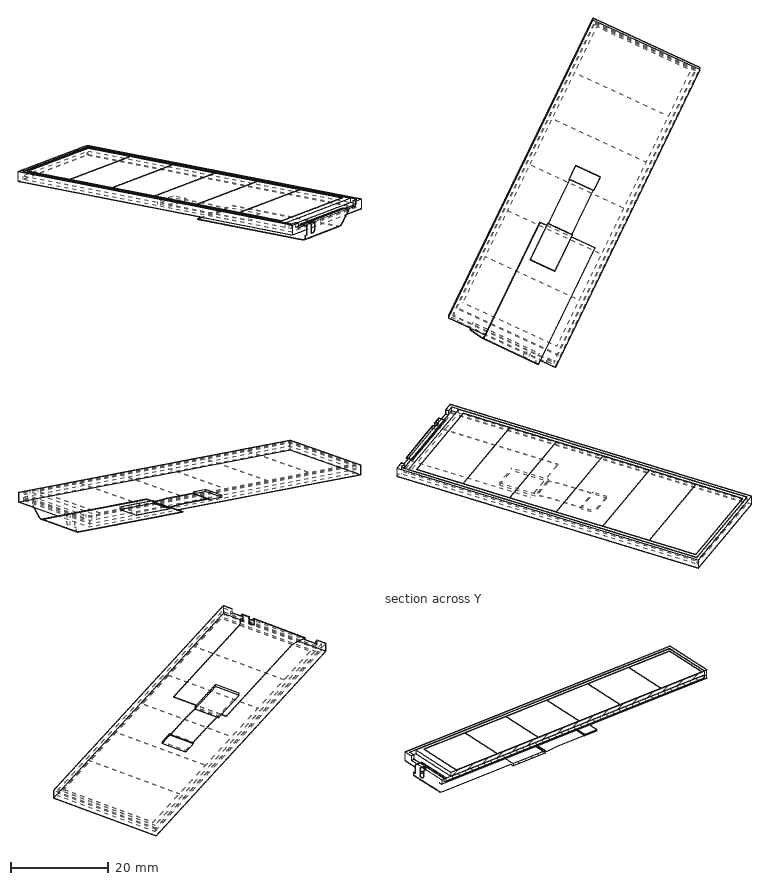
import cadquery as cq

FRAME_LENGTH = 69.4
FRAME_WIDTH = 24.4
FRAME_HEIGHT = 2.1
RIM = 0.7
FLOOR = 0.4
NOTCH_MARGIN = 2.1
NOTCH_DEPTH = 1.05

LEDGE_TOP = 1.1
UPPER_END = 67.1

CELL_COUNT = 6
CELL_WIDTH = 21.4
CELL_THICKNESS = 0.1
CELL_START = 1.3
CELLS_END = 65.6

FLEX_THICKNESS = 0.105
FLEX_START = 68.35
WALL_LEFT_X = 69.95
WALL_RIGHT_X = 70.1
FLEX_LEFT_Y = 7.1
FLEX_RIGHT_Y = -8.0
TOP_FOLD_RADIUS = 0.35
BOTTOM_FOLD_RADIUS = 0.55
ARM_START = 42.75
ARM_LEFT_Y = 3.9
ARM_RIGHT_Y = -8.55
ARM_BOTTOM = -1.9
FLAP_TOP = -0.85

SLOT_START = 69.2
SLOT_LEFT_Y = -5.2
SLOT_RIGHT_Y = -6.4
SLOT_CORNER = 0.55

TAIL_LEFT_Y = 2.45
TAIL_RIGHT_Y = -3.15
STRIP_MARGIN = 0.15
PAD_START = 42.2
PAD_END = 50.7
PAD_BOTTOM = -2.45
TAIL_START = 28.8
PLUG_END = 32.0
PLUG_TOP = -1.7
PLUG_BOTTOM = -2.1
STRIP_TOP = -1.9
STRIP_DROP = 0.2
STRIP_BEND_START = 38.9
STRIP_BEND_END = 41.7

UPPER_TOP = FRAME_HEIGHT - CELL_THICKNESS
OPENING_END = FRAME_LENGTH - RIM
OPENING_WIDTH = FRAME_WIDTH - 2 * RIM
FLEX_TOP = LEDGE_TOP + FLEX_THICKNESS
CELL_LENGTH = (CELLS_END - CELL_START) / CELL_COUNT


def block(x_range, y_range, z_range):
    """Box between two limits on each axis."""
    lows, highs = zip(*(sorted(limits) for limits in (x_range, y_range, z_range)))
    sizes = [high - low for low, high in zip(lows, highs)]
    return cq.Workplane("XY").box(*sizes, centered=False).translate(lows)


def centred_block(x_range, width, z_range):
    """Box centred on Y."""
    return block(x_range, (-width / 2, width / 2), z_range)


def make_frame():
    frame = centred_block((0, FRAME_LENGTH), FRAME_WIDTH, (0, FRAME_HEIGHT))
    opening = centred_block((RIM, OPENING_END), OPENING_WIDTH, (FLOOR, FRAME_HEIGHT))
    notch = centred_block(
        (OPENING_END, FRAME_LENGTH),
        FRAME_WIDTH - 2 * NOTCH_MARGIN,
        (FRAME_HEIGHT - NOTCH_DEPTH, FRAME_HEIGHT),
    )
    return frame.cut(opening).cut(notch)


def make_lower_glass():
    return centred_block((RIM, OPENING_END), OPENING_WIDTH, (FLOOR, LEDGE_TOP))


def make_upper_glass():
    return centred_block((RIM, UPPER_END), OPENING_WIDTH, (LEDGE_TOP, UPPER_TOP))


def make_cell(index):
    start = CELL_START + index * CELL_LENGTH
    return centred_block((start, start + CELL_LENGTH), CELL_WIDTH, (UPPER_TOP, FRAME_HEIGHT))


def fold_section(inset):
    """Rounded block inside the folded flex, shrunk from its outer face by the inset.

    Its end wall is slightly askew, reaching further out on the -Y side.
    """
    bottom = ARM_BOTTOM + inset
    section = (
        cq.Workplane("XY", origin=(0, 0, bottom))
        .moveTo(ARM_START, ARM_RIGHT_Y)
        .lineTo(WALL_RIGHT_X - inset, ARM_RIGHT_Y)
        .lineTo(WALL_LEFT_X - inset, FLEX_LEFT_Y)
        .lineTo(ARM_START, FLEX_LEFT_Y)
        .close()
        .extrude(FLEX_TOP - inset - bottom)
    )
    section = section.faces(">X").edges(">Z").fillet(TOP_FOLD_RADIUS - inset)
    return section.faces(">X").edges("<Z").fillet(BOTTOM_FOLD_RADIUS - inset)


def make_folded_sheet():
    sheet = fold_section(0).cut(fold_section(FLEX_THICKNESS))
    spare_top = block((ARM_START, FLEX_START), (ARM_RIGHT_Y, FLEX_LEFT_Y), (LEDGE_TOP, FLEX_TOP))
    outline = (
        cq.Workplane("YZ", origin=(ARM_START, 0, 0))
        .moveTo(FLEX_LEFT_Y, FLEX_TOP)
        .lineTo(FLEX_LEFT_Y, LEDGE_TOP)
        .lineTo(ARM_LEFT_Y, ARM_BOTTOM)
        .lineTo(ARM_RIGHT_Y, ARM_BOTTOM)
        .lineTo(ARM_RIGHT_Y, FLAP_TOP)
        .lineTo(FLEX_RIGHT_Y, FLAP_TOP)
        .lineTo(FLEX_RIGHT_Y, FLEX_TOP)
        .close()
        .extrude(WALL_RIGHT_X - ARM_START)
    )
    return sheet.cut(spare_top).intersect(outline)


def make_slot():
    slot = block((SLOT_START, WALL_RIGHT_X), (SLOT_RIGHT_Y, SLOT_LEFT_Y), (FLAP_TOP, FLEX_TOP))
    slot = slot.edges("|X and >Y and <Z").fillet(SLOT_CORNER)
    return slot.edges("|Z and >Y and <X").fillet(SLOT_CORNER)


def make_tail():
    low_top = STRIP_TOP - STRIP_DROP
    width = TAIL_LEFT_Y - TAIL_RIGHT_Y - 2 * STRIP_MARGIN
    strip = (
        cq.Workplane("XZ", origin=(0, TAIL_LEFT_Y - STRIP_MARGIN, 0))
        .moveTo(TAIL_START, STRIP_TOP)
        .lineTo(STRIP_BEND_START, STRIP_TOP)
        .lineTo(STRIP_BEND_END, low_top)
        .lineTo(PAD_END, low_top)
        .lineTo(PAD_END, low_top - FLEX_THICKNESS)
        .lineTo(STRIP_BEND_END, low_top - FLEX_THICKNESS)
        .lineTo(STRIP_BEND_START, STRIP_TOP - FLEX_THICKNESS)
        .lineTo(TAIL_START, STRIP_TOP - FLEX_THICKNESS)
        .close()
        .extrude(width)
    )
    part_y = (TAIL_RIGHT_Y, TAIL_LEFT_Y)
    pad = block((PAD_START, PAD_END), part_y, (PAD_BOTTOM, ARM_BOTTOM))
    plug = block((TAIL_START, PLUG_END), part_y, (PLUG_BOTTOM, PLUG_TOP))
    return strip.union(pad).union(plug)


frame = make_frame()
lower_glass = make_lower_glass()
upper_glass = make_upper_glass()
cells = [make_cell(index).val() for index in range(CELL_COUNT)]
flex = make_folded_sheet().cut(make_slot()).union(make_tail())

result = cq.Compound.makeCompound(
    [frame.val(), lower_glass.val(), upper_glass.val(), *cells, flex.val()]
)